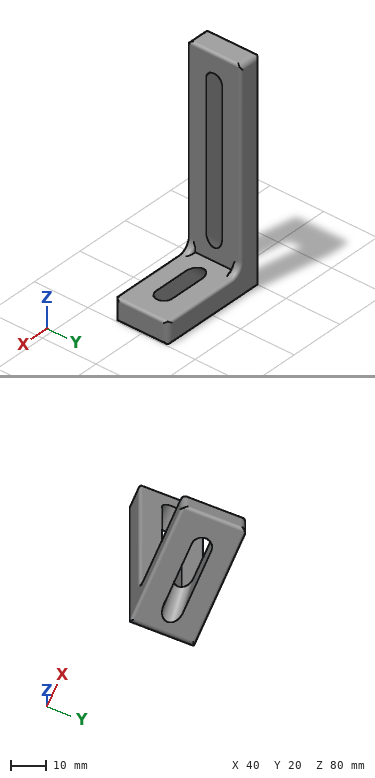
import cadquery as cq

foot_length = 40.0
leg_height = 80.0
width = 20.0
thickness = 8.0

edge_radius = 1.0
large_radius = 2.0

slot_width = 6.0
slot_start = 9.0
slot_end_margin = 10.0

web_thickness = 3.0
web_radius = 4.0

overlap = 4.0


def make_leg(length):
    """Upright plate; each set of edges is rounded on its own blank, so the rounds meet in mitres."""
    blank = cq.Workplane("XY").box(thickness, width, length, centered=(False, True, False))
    long_rounds = blank.edges("|Z").fillet(edge_radius)
    cross_rounds = blank.faces(">Z").edges("|Y").fillet(edge_radius)
    cross_rounds = cross_rounds.faces("<Z").edges("|Y and <X").fillet(large_radius)
    end_rounds = blank.faces(">Z").edges("|X").fillet(large_radius)
    end_rounds = end_rounds.faces("<Z").edges("|X").fillet(edge_radius)
    return long_rounds.intersect(cross_rounds).intersect(end_rounds)


def make_leg_slot(length):
    """Cutter for the slot of a leg: a slab between its two round ends."""
    far_centre = length - slot_end_margin
    inner_x = thickness + overlap
    slab = (
        cq.Workplane("XZ")
        .moveTo(-overlap, slot_start - overlap)
        .lineTo(inner_x, slot_start + inner_x)
        .lineTo(inner_x, far_centre)
        .lineTo(-overlap, far_centre)
        .close()
        .extrude(slot_width / 2, both=True)
    )
    far_end = (
        cq.Workplane("YZ", origin=(-overlap, 0, far_centre))
        .circle(slot_width / 2)
        .extrude(thickness + 2 * overlap)
    )
    slant_run = cq.Vector(inner_x + overlap, 0, inner_x + overlap)
    slant_plane = cq.Plane(
        origin=(-overlap, 0, slot_start - overlap),
        xDir=(0, 1, 0),
        normal=slant_run.toTuple(),
    )
    slanted_end = cq.Workplane(slant_plane).circle(slot_width / 2).extrude(slant_run.Length)
    return slab.union(far_end).union(slanted_end)


def lay_down(shape):
    """Swap X and Z, turning a leg shape into the matching foot shape."""
    return shape.rotate((0, 0, 0), (1, 0, 1), 180).mirror("XZ")


def make_web():
    """Web on the +Y side, hollowed by a round whose two rims are rounded over."""
    block_start = thickness - edge_radius
    block_size = web_radius + edge_radius
    arc_centre = thickness + web_radius
    outer_y = width / 2
    inner_y = outer_y - web_thickness
    block = cq.Workplane("XY").box(block_size, web_thickness, block_size, centered=False)
    block = block.translate((block_start, inner_y, block_start))
    rim_radius = web_radius + edge_radius
    hollow = (
        cq.Workplane("XY")
        .moveTo(0, inner_y)
        .lineTo(rim_radius, inner_y)
        .radiusArc((web_radius, inner_y + edge_radius), edge_radius)
        .lineTo(web_radius, outer_y - edge_radius)
        .radiusArc((rim_radius, outer_y), edge_radius)
        .lineTo(0, outer_y)
        .close()
        .revolve(360, (0, 0, 0), (0, 1, 0))
        .translate((arc_centre, 0, arc_centre))
    )
    return block.cut(hollow)


web = make_web()
bracket = (
    make_leg(leg_height)
    .union(lay_down(make_leg(foot_length)))
    .union(web)
    .union(web.mirror("XZ"))
)
result = bracket.cut(make_leg_slot(leg_height)).cut(lay_down(make_leg_slot(foot_length)))